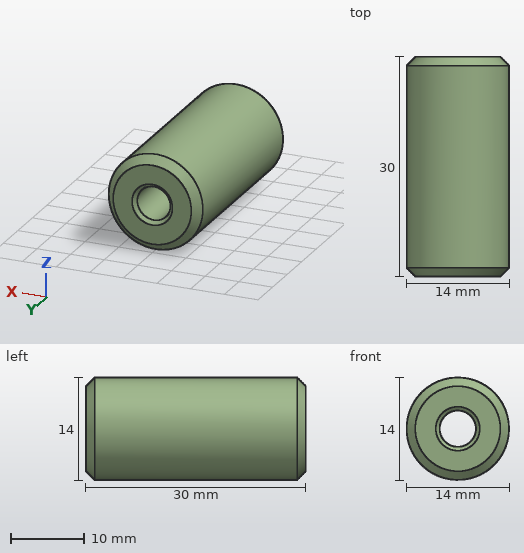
import cadquery as cq

length = 30.0
outer_diameter = 14.0
end_chamfer = 1.2

bore_diameter = 4.92
countersink_diameter = 6.0
countersink_depth = (countersink_diameter - bore_diameter) / 2


def chamfered_cylinder():
    """Solid cylinder along Y with both outer rims chamfered."""
    start = cq.Workplane("XZ", origin=(0, length / 2, 0))
    cylinder = start.circle(outer_diameter / 2).extrude(length)
    return cylinder.faces("<Y or >Y").chamfer(end_chamfer)


body = chamfered_cylinder().faces("<Y").workplane().hole(bore_diameter)

for end_face in ("<Y", ">Y"):
    body = body.faces(end_face).edges(cq.selectors.RadiusNthSelector(0)).chamfer(countersink_depth)

result = body